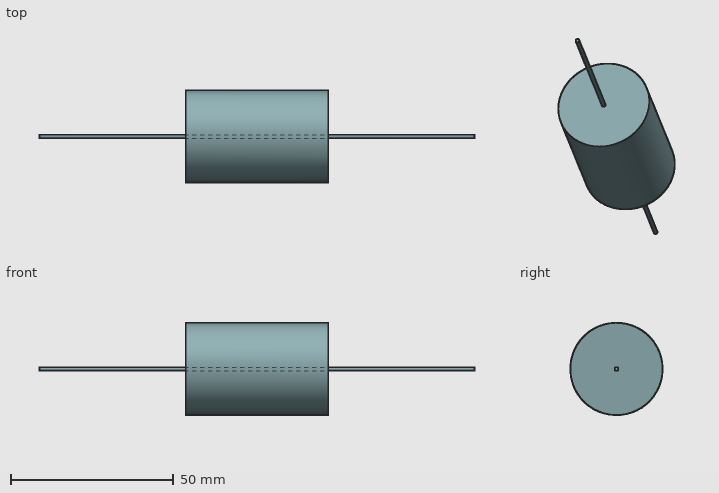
import cadquery as cq

body_diameter = 28.5
body_length = 44.0
lead_diameter = 1.2
lead_length = 45.0
wire_length = body_length + 2 * lead_length


def x_cylinder(diameter, length):
    """Cylinder along X, centred on the origin."""
    return cq.Workplane("YZ", origin=(-length / 2, 0, 0)).circle(diameter / 2).extrude(length)


def make_lead_wire():
    """One straight wire that runs through the body and forms both leads."""
    return x_cylinder(lead_diameter, wire_length)


def make_capacitor_body():
    """Cylindrical body with a through hole that fits the lead wire."""
    return x_cylinder(body_diameter, body_length).cut(x_cylinder(lead_diameter, body_length))


lead_wire = make_lead_wire()
capacitor_body = make_capacitor_body()

result = cq.Compound.makeCompound([capacitor_body.val(), lead_wire.val()])